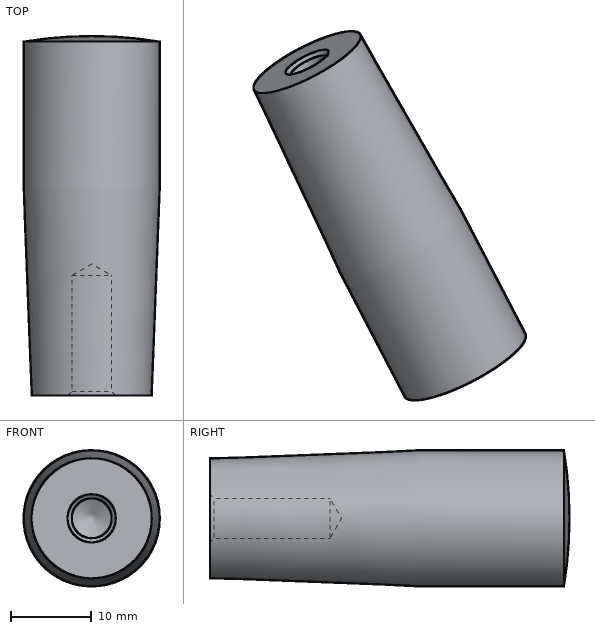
import cadquery as cq
import math

length = 44.9
grip_diameter = 17.0
end_diameter = 15.0
taper_length = 26.0
dome_height = 0.7

hole_diameter = 5.0
hole_mouth_diameter = 6.0
hole_depth = 15.0
drill_point_angle = 120.0

grip_radius = grip_diameter / 2
end_radius = end_diameter / 2
hole_radius = hole_diameter / 2
hole_mouth_radius = hole_mouth_diameter / 2


def make_body():
    """Tapered handle with a cylindrical grip and a shallow spherical end."""
    shoulder = length - dome_height
    dome_radius = (grip_radius**2 + dome_height**2) / (2 * dome_height)
    half_angle = math.asin(grip_radius / dome_radius) / 2
    dome_middle = (
        dome_radius * math.sin(half_angle),
        length - dome_radius * (1 - math.cos(half_angle)),
    )
    profile = (
        cq.Workplane("XY")
        .lineTo(end_radius, 0)
        .lineTo(grip_radius, taper_length)
        .lineTo(grip_radius, shoulder)
        .threePointArc(dome_middle, (0, length))
        .close()
    )
    return profile.revolve(360, (0, 0), (0, 1))


def make_hole():
    """Drilled hole with a 45 degree countersink and a conical bottom."""
    countersink_depth = hole_mouth_radius - hole_radius
    point_depth = hole_radius / math.tan(math.radians(drill_point_angle / 2))
    profile = (
        cq.Workplane("XY")
        .lineTo(hole_mouth_radius, 0)
        .lineTo(hole_radius, countersink_depth)
        .lineTo(hole_radius, hole_depth)
        .lineTo(0, hole_depth + point_depth)
        .close()
    )
    return profile.revolve(360, (0, 0), (0, 1))


result = make_body().cut(make_hole())